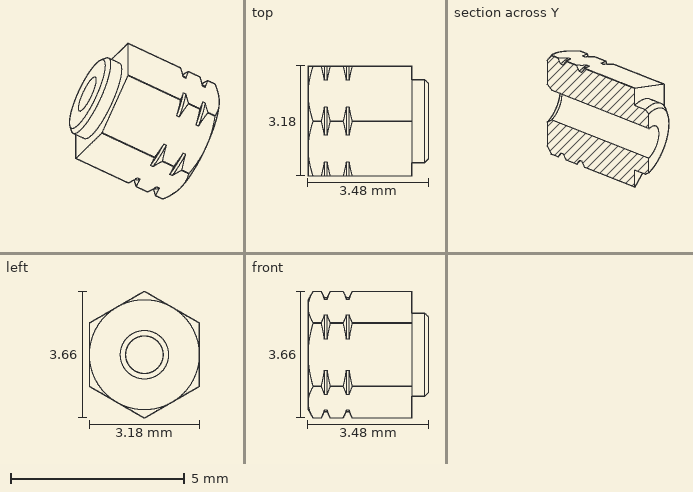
import cadquery as cq
import math

ACROSS_FLATS = 3.18
ACROSS_CORNERS = 3.66
BODY_LENGTH = 3.0
FRONT_CHAMFER_ANGLE = 30.0

SPIGOT_DIAMETER = 2.41
OVERALL_LENGTH = 3.48
SPIGOT_CHAMFER = 0.115

HOLE_DIAMETER = 1.08
COUNTERSINK_DIAMETER = 1.40

GROOVE_FLOOR_RADIUS = 1.6525
GROOVE_FLOOR_WIDTH = 0.085
GROOVE_MOUTH_WIDTH = 0.26
FIRST_GROOVE_X = 0.508
GROOVE_PITCH = 0.635
GROOVE_COUNT = 2

FLAT_RADIUS = ACROSS_FLATS / 2
CORNER_RADIUS = ACROSS_CORNERS / 2
SHARP_CORNER_DIAMETER = ACROSS_FLATS / math.cos(math.radians(30))
SPIGOT_RADIUS = SPIGOT_DIAMETER / 2


def revolve_about_x(points):
    """Solid of revolution about X from a closed outline of (x, radius) points."""
    return cq.Workplane("XY").polyline(points).close().revolve(360, (0, 0, 0), (1, 0, 0))


def make_body():
    """Hexagon with corners at +Z and -Z, trimmed to the turned blank."""
    hexagon = (
        cq.Workplane("YZ")
        .polygon(6, SHARP_CORNER_DIAMETER)
        .extrude(BODY_LENGTH)
        .rotate((0, 0, 0), (1, 0, 0), 90)
    )
    chamfer_length = (CORNER_RADIUS - FLAT_RADIUS) * math.tan(math.radians(FRONT_CHAMFER_ANGLE))
    blank = revolve_about_x([
        (0, 0),
        (0, FLAT_RADIUS),
        (chamfer_length, CORNER_RADIUS),
        (BODY_LENGTH, CORNER_RADIUS),
        (BODY_LENGTH, 0),
    ])
    return hexagon.intersect(blank)


def make_groove(center_x):
    """Ring-shaped cutter for one groove, its sides carried on past the corners."""
    cutter_radius = 2 * CORNER_RADIUS - GROOVE_FLOOR_RADIUS
    half_floor = GROOVE_FLOOR_WIDTH / 2
    half_top = GROOVE_MOUTH_WIDTH - half_floor
    return revolve_about_x([
        (center_x - half_floor, GROOVE_FLOOR_RADIUS),
        (center_x + half_floor, GROOVE_FLOOR_RADIUS),
        (center_x + half_top, cutter_radius),
        (center_x - half_top, cutter_radius),
    ])


def make_spigot():
    """Plain cylinder with a chamfered end."""
    return revolve_about_x([
        (BODY_LENGTH, 0),
        (BODY_LENGTH, SPIGOT_RADIUS),
        (OVERALL_LENGTH - SPIGOT_CHAMFER, SPIGOT_RADIUS),
        (OVERALL_LENGTH, SPIGOT_RADIUS - SPIGOT_CHAMFER),
        (OVERALL_LENGTH, 0),
    ])


def make_bore():
    """Cutter for the through hole and its countersink."""
    hole_radius = HOLE_DIAMETER / 2
    countersink_radius = COUNTERSINK_DIAMETER / 2
    countersink_depth = countersink_radius - hole_radius
    return revolve_about_x([
        (0, 0),
        (0, countersink_radius),
        (countersink_depth, hole_radius),
        (OVERALL_LENGTH, hole_radius),
        (OVERALL_LENGTH, 0),
    ])


part = make_body()
for index in range(GROOVE_COUNT):
    part = part.cut(make_groove(FIRST_GROOVE_X + index * GROOVE_PITCH))
result = part.union(make_spigot()).cut(make_bore())